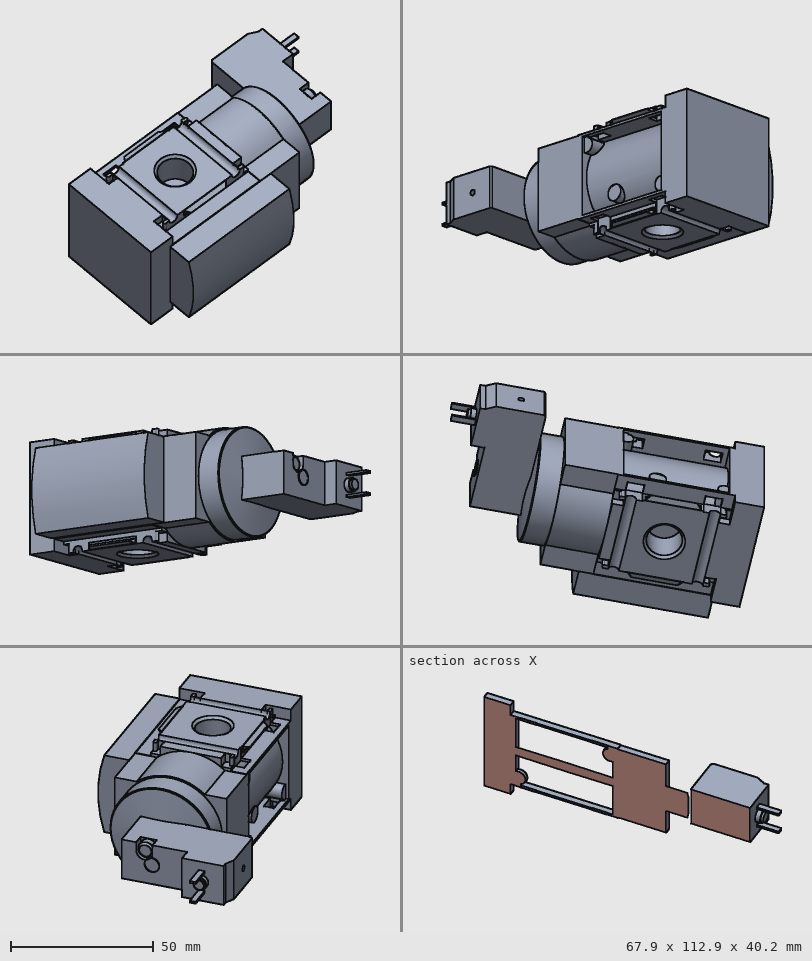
import cadquery as cq

BODY_WIDTH = 42.1
BODY_HEIGHT = 40.2
HALF_WIDTH = BODY_WIDTH / 2
HALF_HEIGHT = BODY_HEIGHT / 2
FRONT_BLOCK_END = 10.4
MIDDLE_END = 52.4
COLLAR_END = 71.4
COLLAR_BOX_HEIGHT = 30.9
FRAME_HALF_HEIGHT = 15.7
PORT_Y = (FRONT_BLOCK_END + MIDDLE_END) / 2

CAP_DIAMETER = 39.0
CAP_RIM_END = 79.7
CAP_RIM_CHAMFER = 0.3
CAP_TOP = 81.9
CAP_FLAT_RADIUS = 6.8

WINDOW_HALF_HEIGHT = 14.7
WINDOW_LENGTH = 37.9
CORE_RADIUS = 18.7
BUTTON_DIAMETER = 6.1
BUTTON_Y = 37.5
BUTTON_Z = -8.6
BUTTON_FACE_X = -18.2
BOSS_DIAMETER = 5.5
BOSS_OFFSET_Y = 17.8
BOSS_OFFSET_Z = 11.5
BOSS_FACE_X = -20.0

PLATE_HALF_WIDTH = 15.1
PLATE_LENGTH = 34.2
PLATE_BASE_TOP = 16.7
TAB_HALF_WIDTH = 11.5
GROOVE_DIAMETER = 3.8
GROOVE_DEPTH = 2.1
GROOVE_OFFSET = 15.0
PORT_DIAMETER = 12.6
PORT_DEPTH = 12.4
PORT_CHAMFER = 1.0
PEG_WIDTH = 1.4
PEG_LENGTH = 2.1
POCKET_INNER_X = -14.8
POCKET_OUTER_X = -18.6
POCKET_LENGTH = 6.1
POCKET_OFFSET = 14.0
WING_TIP_X = 17.3
WING_TIP_Z = 19.3
WING_TOP_Z = 19.9
WING_ROOT_Z = 18.1
WING_LEDGE_WIDTH = 0.2
WING_LEDGE_Z = 17.4
WING_ROOT_LENGTH = 20.1
WING_TIP_LENGTH = 16.5

GAUGE_START = 9.3
GAUGE_END = 57.6
GAUGE_HALF_HEIGHT = 15.4
GAUGE_EDGE_X = 30.6
GAUGE_CROWN_X = 33.0

VALVE_LEFT = -34.9
VALVE_RIGHT = 7.3
VALVE_STEP_X = -17.4
VALVE_BOTTOM = 81.1
VALVE_SHOULDER = 99.5
VALVE_TOP = 104.3
VALVE_HEIGHT = 15.6
VALVE_BEVEL_WIDTH = 1.8
VALVE_BEVEL_START = 102.4
VALVE_BEVEL_END = 99.0
VALVE_EDGE_CHAMFER = 0.7
SCREW_X = -1.2
SCREW_DIAMETER = 6.1
SCREW_FRONT = 95.3
SCREW_RIM = 97.8
SCREW_CHAMFER = 0.8
SCREW_SINK = 0.2
DISC_DIAMETER = 5.5
DISC_X = -4.2
DISC_HEIGHT = 0.3
PINHOLE_DIAMETER = 2.0
PINHOLE_Y = 90.0
PINHOLE_DEPTH = 2.3

CONTACT_X = -24.8
STUD_DIAMETER = 5.0
STUD_END = 106.2
STUD_TIP_DIAMETER = 4.0
STUD_TIP_END = 107.3
BLADE_END = 112.9
BLADE_WIDTH = 2.3
BLADE_THICKNESS = 0.8
BLADE_OFFSET_Z = 4.0


def block(x_min, x_max, y_min, y_max, z_min, z_max):
    size = (x_max - x_min, y_max - y_min, z_max - z_min)
    return cq.Workplane("XY").box(*size, centered=False).translate((x_min, y_min, z_min))


def rod_y(diameter, y_min, y_max, x=0, z=0):
    axis_start = cq.Vector(x, y_min, z)
    return cq.Workplane(cq.Solid.makeCylinder(diameter / 2, y_max - y_min, axis_start, cq.Vector(0, 1, 0)))


def rod_x(diameter, x_min, x_max, y, z):
    axis_start = cq.Vector(x_min, y, z)
    return cq.Workplane(cq.Solid.makeCylinder(diameter / 2, x_max - x_min, axis_start, cq.Vector(1, 0, 0)))


def both_sides(shape, plane):
    return shape.union(shape.mirror(plane))


def make_body():
    front = block(-HALF_WIDTH, HALF_WIDTH, 0, FRONT_BLOCK_END, -HALF_HEIGHT, HALF_HEIGHT)
    middle = block(
        -HALF_WIDTH, HALF_WIDTH,
        FRONT_BLOCK_END, MIDDLE_END,
        -FRAME_HALF_HEIGHT, FRAME_HALF_HEIGHT,
    )
    half_collar = COLLAR_BOX_HEIGHT / 2
    collar = block(-HALF_WIDTH, HALF_WIDTH, MIDDLE_END, COLLAR_END, -half_collar, half_collar)
    collar = collar.union(rod_y(BODY_HEIGHT, MIDDLE_END, COLLAR_END))
    return front.union(middle).union(collar)


def make_cap():
    cap_radius = CAP_DIAMETER / 2
    profile = cq.Workplane("XY").polyline([
        (0, COLLAR_END),
        (cap_radius, COLLAR_END),
        (cap_radius, CAP_RIM_END),
        (cap_radius - CAP_RIM_CHAMFER, CAP_RIM_END + CAP_RIM_CHAMFER),
        (CAP_FLAT_RADIUS, CAP_TOP),
        (0, CAP_TOP),
    ]).close()
    return profile.revolve(360, (0, 0, 0), (0, 1, 0))


def make_window_space():
    """Hollow of the side window, leaving the core, its button and two webbed corner bosses."""
    y_min = PORT_Y - WINDOW_LENGTH / 2
    y_max = PORT_Y + WINDOW_LENGTH / 2
    space = block(-HALF_WIDTH, 0, y_min, y_max, -WINDOW_HALF_HEIGHT, WINDOW_HALF_HEIGHT)
    space = space.cut(rod_y(2 * CORE_RADIUS, y_min, y_max))
    space = space.cut(rod_x(BUTTON_DIAMETER, BUTTON_FACE_X, 0, BUTTON_Y, BUTTON_Z))
    web_start = POCKET_OFFSET + POCKET_LENGTH / 2
    web_end = WINDOW_LENGTH / 2
    for side in (-1, 1):
        boss_y = PORT_Y + side * BOSS_OFFSET_Y
        boss_z = side * BOSS_OFFSET_Z
        space = space.cut(rod_x(BOSS_DIAMETER, BOSS_FACE_X, 0, boss_y, boss_z))
        web_y = sorted((PORT_Y + side * web_start, PORT_Y + side * web_end))
        web_z = sorted((boss_z, side * WINDOW_HALF_HEIGHT))
        space = space.cut(block(BOSS_FACE_X, 0, *web_y, *web_z))
    return space


def make_wing():
    """Tapered dovetail lip and the shallow ledge below it, on the +X edge of the upper port plate."""
    section = cq.Workplane("XZ").polyline([
        (PLATE_HALF_WIDTH, WING_TOP_Z),
        (WING_TIP_X, WING_TIP_Z),
        (PLATE_HALF_WIDTH, WING_ROOT_Z),
    ]).close().extrude(WING_ROOT_LENGTH / 2, both=True)
    ledge = block(
        PLATE_HALF_WIDTH, PLATE_HALF_WIDTH + WING_LEDGE_WIDTH,
        -WING_ROOT_LENGTH / 2, WING_ROOT_LENGTH / 2,
        WING_LEDGE_Z, WING_TOP_Z - WING_LEDGE_WIDTH,
    )
    plan = cq.Workplane("XY").polyline([
        (PLATE_HALF_WIDTH, -WING_ROOT_LENGTH / 2),
        (WING_TIP_X, -WING_TIP_LENGTH / 2),
        (WING_TIP_X, WING_TIP_LENGTH / 2),
        (PLATE_HALF_WIDTH, WING_ROOT_LENGTH / 2),
    ]).close().extrude(HALF_HEIGHT)
    return section.intersect(plan).union(ledge).translate((0, PORT_Y, 0))


def make_peg(side):
    """Round-nosed peg at one end of the plate, on its +X edge."""
    nose_radius = PEG_WIDTH / 2
    peg_x = PLATE_HALF_WIDTH - nose_radius
    root_y = PLATE_LENGTH / 2
    nose_y = root_y + PEG_LENGTH - nose_radius
    nose = cq.Workplane("XY").center(peg_x, nose_y).circle(nose_radius).extrude(HALF_HEIGHT)
    stem = block(peg_x - nose_radius, PLATE_HALF_WIDTH, root_y, nose_y, 0, HALF_HEIGHT)
    peg = nose.union(stem)
    if side < 0:
        peg = peg.mirror("XZ")
    return peg.translate((0, PORT_Y, 0))


def make_upper_plate():
    y_min = PORT_Y - PLATE_LENGTH / 2
    y_max = PORT_Y + PLATE_LENGTH / 2
    base = block(-PLATE_HALF_WIDTH, PLATE_HALF_WIDTH, FRONT_BLOCK_END, MIDDLE_END, 0, PLATE_BASE_TOP)
    pad = block(-PLATE_HALF_WIDTH, PLATE_HALF_WIDTH, y_min, y_max, 0, HALF_HEIGHT)
    tab = block(-TAB_HALF_WIDTH, TAB_HALF_WIDTH, FRONT_BLOCK_END, MIDDLE_END, 0, HALF_HEIGHT)
    edge = make_wing().union(make_peg(-1)).union(make_peg(1))
    plate = base.union(pad).union(tab).union(both_sides(edge, "YZ"))
    return plate.cut(block(-HALF_WIDTH, HALF_WIDTH, 0, MIDDLE_END, 0, WINDOW_HALF_HEIGHT))


def make_upper_cuts():
    """Port, mounting grooves and edge pockets of the upper plate."""
    port = cq.Workplane("XY").workplane(offset=HALF_HEIGHT - PORT_DEPTH).center(0, PORT_Y)
    port = port.circle(PORT_DIAMETER / 2).extrude(PORT_DEPTH)
    mouth = cq.Workplane("XY").workplane(offset=HALF_HEIGHT).center(0, PORT_Y)
    mouth = mouth.circle(PORT_DIAMETER / 2 + PORT_CHAMFER).workplane(offset=-PORT_CHAMFER)
    mouth = mouth.circle(PORT_DIAMETER / 2).loft()
    cuts = port.union(mouth)
    groove_radius = GROOVE_DIAMETER / 2
    groove_z = HALF_HEIGHT - GROOVE_DEPTH + groove_radius
    for side in (-1, 1):
        groove_y = PORT_Y + side * GROOVE_OFFSET
        groove = rod_x(GROOVE_DIAMETER, -PLATE_HALF_WIDTH, PLATE_HALF_WIDTH, groove_y, groove_z)
        pocket_y = PORT_Y + side * POCKET_OFFSET
        pocket = block(
            POCKET_OUTER_X, POCKET_INNER_X,
            pocket_y - POCKET_LENGTH / 2, pocket_y + POCKET_LENGTH / 2,
            WINDOW_HALF_HEIGHT, HALF_HEIGHT,
        )
        cuts = cuts.union(groove).union(pocket)
    return cuts


def make_gauge():
    outline = (
        cq.Workplane("XZ")
        .moveTo(0, -GAUGE_HALF_HEIGHT)
        .lineTo(GAUGE_EDGE_X, -GAUGE_HALF_HEIGHT)
        .threePointArc((GAUGE_CROWN_X, 0), (GAUGE_EDGE_X, GAUGE_HALF_HEIGHT))
        .lineTo(0, GAUGE_HALF_HEIGHT)
        .close()
    )
    gauge = outline.extrude(GAUGE_START - GAUGE_END).translate((0, GAUGE_START, 0))
    return gauge.intersect(block(HALF_WIDTH, GAUGE_CROWN_X, 0, COLLAR_END, -HALF_HEIGHT, HALF_HEIGHT))


def make_screw_recess():
    """Round-bottomed slot, open at the top of the valve, around a chamfered screw head."""
    screw_radius = SCREW_DIAMETER / 2
    screw_z = VALVE_HEIGHT / 2 - SCREW_SINK - screw_radius
    slot = rod_y(SCREW_DIAMETER, SCREW_FRONT, VALVE_SHOULDER, SCREW_X, screw_z).union(block(
        SCREW_X - screw_radius, SCREW_X + screw_radius,
        SCREW_FRONT, VALVE_SHOULDER,
        screw_z, VALVE_HEIGHT / 2,
    ))
    head = rod_y(SCREW_DIAMETER, SCREW_FRONT, SCREW_RIM + SCREW_CHAMFER, SCREW_X, screw_z)
    return slot.cut(head.faces(">Y").chamfer(SCREW_CHAMFER))


def make_valve():
    half_height = VALVE_HEIGHT / 2
    outline = cq.Workplane("XY").workplane(offset=-half_height).polyline([
        (VALVE_LEFT + VALVE_EDGE_CHAMFER, VALVE_BOTTOM),
        (VALVE_RIGHT, VALVE_BOTTOM),
        (VALVE_RIGHT, VALVE_SHOULDER),
        (VALVE_STEP_X, VALVE_SHOULDER),
        (VALVE_STEP_X, VALVE_TOP),
        (VALVE_LEFT + VALVE_BEVEL_WIDTH, VALVE_TOP),
        (VALVE_LEFT + VALVE_BEVEL_WIDTH, VALVE_BEVEL_START),
        (VALVE_LEFT, VALVE_BEVEL_END),
        (VALVE_LEFT, VALVE_BOTTOM + VALVE_EDGE_CHAMFER),
    ]).close()
    valve = outline.extrude(VALVE_HEIGHT)
    valve = valve.cut(make_screw_recess())
    valve = valve.cut(rod_x(PINHOLE_DIAMETER, VALVE_LEFT, VALVE_LEFT + PINHOLE_DEPTH, PINHOLE_Y, 0))
    return valve.union(rod_y(DISC_DIAMETER, VALVE_SHOULDER, VALVE_SHOULDER + DISC_HEIGHT, DISC_X))


def make_contacts():
    contacts = rod_y(STUD_DIAMETER, VALVE_TOP, STUD_END, CONTACT_X)
    contacts = contacts.union(rod_y(STUD_TIP_DIAMETER, STUD_END, STUD_TIP_END, CONTACT_X))
    for side in (-1, 1):
        blade_z = side * BLADE_OFFSET_Z
        contacts = contacts.union(block(
            CONTACT_X - BLADE_WIDTH / 2, CONTACT_X + BLADE_WIDTH / 2,
            VALVE_TOP, BLADE_END,
            blade_z - BLADE_THICKNESS / 2, blade_z + BLADE_THICKNESS / 2,
        ))
    return contacts


body = make_body().cut(make_window_space())
body = body.union(both_sides(make_upper_plate(), "XY"))
body = body.cut(both_sides(make_upper_cuts(), "XY"))
result = body.union(make_cap()).union(make_gauge()).union(make_valve()).union(make_contacts())